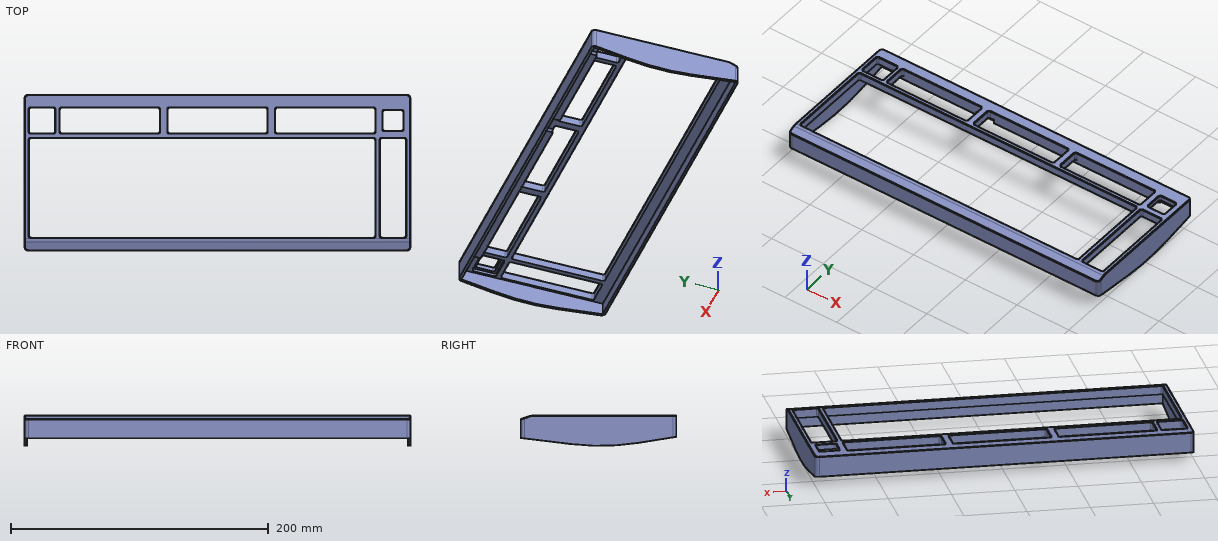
import cadquery as cq
import math

LENGTH = 299.5
DEPTH = 121.0
HEIGHT = 23.7
CORNER_RADIUS = 3.0
EDGE_CHAMFER = 0.5

TOP = HEIGHT / 2
FRONT = -DEPTH / 2
REAR = DEPTH / 2

FRONT_TOP = 9.0
FRONT_TOP_MARGIN = 1.0
BEVEL_START = -52.5
BEVEL_BLEND_RADIUS = 8.0
FRONT_BOTTOM = -5.7
REAR_BOTTOM = -4.8
KEEL_Y = 5.0
BOW_RADIUS = 188.7
KEEL_ITERATIONS = 30

WALL = 2.0
PLATE_THICKNESS = 7.2
PLATE_BOTTOM = TOP - PLATE_THICKNESS

OPENING_RADIUS = 1.5
GRID_EDGE = 146.0
CELL_LENGTH = 20.0
BAR = 4.0
BLOCK_LENGTH = 77.3
UPPER_REAR = 50.3
UPPER_FRONT = 30.5
LOWER_REAR = UPPER_FRONT - BAR
LOWER_FRONT = -50.3

KNOB_SIDE = 16.0
KNOB_LID = 4.5

REAR_BAR_DEPTH = 10.5
REAR_BAR_LEFT = -132.5
REAR_BAR_GAP = 15.0
REAR_BAR_RADIUS = 1.25

TOLERANCE = 0.03

COLUMN_EDGE = GRID_EDGE - CELL_LENGTH
MAIN_EDGE = COLUMN_EDGE - BAR
BLOCK_PITCH = MAIN_EDGE - BLOCK_LENGTH / 2


def keel_z():
    """Height of the underside kink whose rounding just reaches the lowest level, by iteration."""
    front_run = KEEL_Y - FRONT
    rear_run = REAR - KEEL_Y
    rounded_bottom = -TOP
    depth = rounded_bottom
    for _ in range(KEEL_ITERATIONS):
        front_angle = math.atan((FRONT_BOTTOM - depth) / front_run)
        rear_angle = math.atan((REAR_BOTTOM - depth) / rear_run)
        tangent = BOW_RADIUS * math.tan((front_angle + rear_angle) / 2)
        arc_start = depth + tangent * math.sin(front_angle)
        sag = BOW_RADIUS * (1 - math.cos(front_angle))
        depth += rounded_bottom - (arc_start - sag)
    return depth


def prism(x_min, x_max, y_min, y_max, z_min, z_max):
    """Box given by its limits."""
    return cq.Workplane("XY").box(
        x_max - x_min, y_max - y_min, z_max - z_min, centered=False
    ).translate((x_min, y_min, z_min))


def body():
    """Solid bar with the side profile, rounded corners and a chamfered top rim."""
    keel = keel_z()
    outline = [
        (FRONT, FRONT_BOTTOM),
        (KEEL_Y, keel),
        (REAR, REAR_BOTTOM),
        (REAR, TOP),
        (BEVEL_START, TOP),
        (FRONT, FRONT_TOP),
    ]
    solid = cq.Workplane("YZ").polyline(outline).close().extrude(LENGTH / 2, both=True)
    solid = solid.edges(cq.NearestToPointSelector((0, KEEL_Y, keel))).fillet(BOW_RADIUS)
    solid = solid.edges(cq.NearestToPointSelector((0, BEVEL_START, TOP))).fillet(BEVEL_BLEND_RADIUS)
    solid = solid.edges("|Z").fillet(CORNER_RADIUS)

    rim_floor = FRONT_TOP - FRONT_TOP_MARGIN
    upper_edges = cq.selectors.BoxSelector((-LENGTH, -DEPTH, rim_floor), (LENGTH, DEPTH, HEIGHT))
    bevel_creases = cq.selectors.BoxSelector(
        (-CORNER_RADIUS, FRONT + CORNER_RADIUS, 0), (CORNER_RADIUS, 0, HEIGHT)
    )
    return solid.edges(upper_edges - bevel_creases).chamfer(EDGE_CHAMFER)


def cavity():
    """Hollow below the top plate, leaving the rear bar standing."""
    inner_x = LENGTH / 2 - WALL
    inner_y = DEPTH / 2 - WALL
    hollow = prism(-inner_x, inner_x, -inner_y, inner_y, -HEIGHT, PLATE_BOTTOM)
    gap_left = -BLOCK_PITCH / 2 - REAR_BAR_GAP / 2
    gap_right = gap_left + REAR_BAR_GAP
    for x_min, x_max in ((REAR_BAR_LEFT, gap_left), (gap_right, COLUMN_EDGE)):
        bar = prism(x_min, x_max, UPPER_REAR, REAR, TOP - REAR_BAR_DEPTH, TOP)
        hollow = hollow.cut(bar.edges("|Z and <Y").fillet(REAR_BAR_RADIUS))
    return hollow


def opening(x_min, x_max, y_min, y_max):
    """Rounded rectangular cutter through the full height."""
    return prism(x_min, x_max, y_min, y_max, -HEIGHT, HEIGHT).edges("|Z").fillet(OPENING_RADIUS)


def grid_openings():
    """All through openings of the top plate."""
    half_block = BLOCK_LENGTH / 2
    upper = [(-GRID_EDGE, -COLUMN_EDGE)]
    upper += [(x - half_block, x + half_block) for x in (-BLOCK_PITCH, 0, BLOCK_PITCH)]
    lower = [(-GRID_EDGE, MAIN_EDGE), (COLUMN_EDGE, GRID_EDGE)]
    cutters = [opening(a, b, UPPER_FRONT, UPPER_REAR) for a, b in upper]
    cutters += [opening(a, b, LOWER_FRONT, LOWER_REAR) for a, b in lower]
    half_knob = KNOB_SIDE / 2
    knob_x = (COLUMN_EDGE + GRID_EDGE) / 2
    knob_y = (UPPER_FRONT + UPPER_REAR) / 2
    cutters.append(
        opening(knob_x - half_knob, knob_x + half_knob, knob_y - half_knob, knob_y + half_knob)
    )
    return cutters


def knob_pocket():
    """Recess under the knob cell that leaves only the thin lid."""
    recess = prism(COLUMN_EDGE, GRID_EDGE, UPPER_FRONT, UPPER_REAR, -HEIGHT, TOP - KNOB_LID)
    return recess.edges("|Z").fillet(OPENING_RADIUS)


def chamfer_opening_rims(frame):
    """Chamfer the top edges of all openings, which lie within the grid limits."""
    rims = cq.selectors.BoxSelector(
        (-GRID_EDGE - TOLERANCE, LOWER_FRONT - TOLERANCE, TOP - TOLERANCE),
        (GRID_EDGE + TOLERANCE, UPPER_REAR + TOLERANCE, TOP + TOLERANCE),
    )
    return frame.edges(rims).chamfer(EDGE_CHAMFER)


frame = body().cut(cavity())
for cutter in grid_openings():
    frame = frame.cut(cutter)
frame = frame.cut(knob_pocket())
result = chamfer_opening_rims(frame)